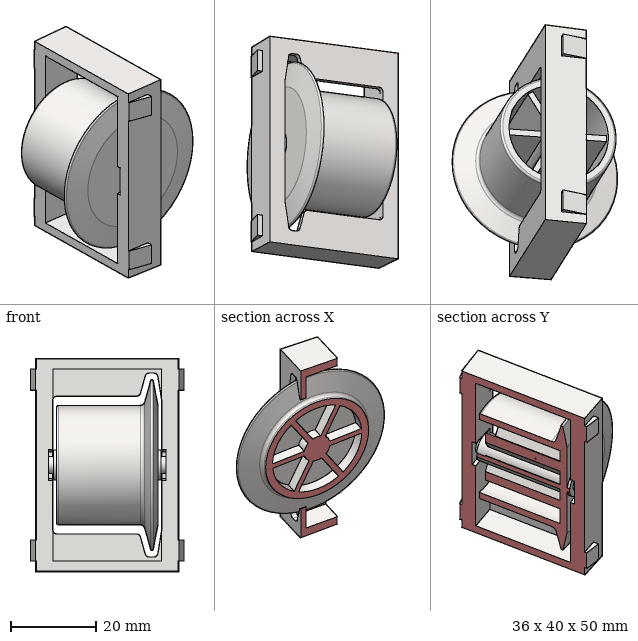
import cadquery as cq
import math

FRAME_WIDTH = 33.5
FRAME_HEIGHT = 50.0
FRAME_DEPTH = 10.0
FRAME_BACK = 4.5
FRAME_FRONT = FRAME_BACK - FRAME_DEPTH
FRAME_DRAFT = 1.0
SIDE_WALL = 4.0
END_WALL = 2.5
WINDOW_WIDTH = FRAME_WIDTH - 2 * SIDE_WALL
WINDOW_HEIGHT = FRAME_HEIGHT - 2 * END_WALL

PANEL_THICKNESS = 1.5
OPENING_DRUM_HALF = 16.1
OPENING_FLANGE_HALF = 21.5
OPENING_DRUM_END = 7.6
OPENING_CREST_LEFT = 9.1
OPENING_CREST_RIGHT = 11.7
OPENING_RIGHT_HALF = 15.0
OPENING_FILLET = 1.0

WEDGE_HEIGHT = 5.0
WEDGE_LENGTH = 6.0
WEDGE_REACH = 18.0
WEDGE_Z = WINDOW_HEIGHT / 2 - WEDGE_HEIGHT / 2

WHEEL_HALF_WIDTH = 11.9
DRUM_RADIUS = 14.0
DRUM_EDGE_FILLET = 0.5
FLANGE_RADIUS = 20.0
FLANGE_TIP_X = 10.45
FLANGE_TIP_ROUND = 0.35
FLANGE_INNER_ANGLE = 15.5
FLANGE_ROOT_FILLET = 1.0
BORE_RADIUS = 12.0
WEB_THICKNESS = 2.0
SPOKE_COUNT = 6
SPOKE_WIDTH = 1.5
SPOKE_RECESS = 1.7
SPOKE_TILT = -2.2

HUB_RADIUS = 3.55
HUB_HALF_LENGTH = 12.6
AXLE_RADIUS = 2.0
SLOT_MOUTH_HEIGHT = 7.3
SLOT_END_HEIGHT = 6.2
SLOT_DEPTH = 0.95
SLOT_FLOOR_X = WINDOW_WIDTH / 2 + SLOT_DEPTH


def x_cylinder(radius, x_start, x_end):
    """Cylinder about the X axis."""
    return cq.Workplane("YZ", origin=(x_start, 0, 0)).circle(radius).extrude(x_end - x_start)


def make_back_panel():
    """Panel filling the back of the window, with the wheel-shaped opening cut through."""
    origin = (0, FRAME_BACK, 0)
    panel = cq.Workplane("XZ", origin=origin).rect(WINDOW_WIDTH, WINDOW_HEIGHT).extrude(PANEL_THICKNESS)
    half_width = WINDOW_WIDTH / 2
    upper = [
        (-half_width, OPENING_DRUM_HALF),
        (OPENING_DRUM_END, OPENING_DRUM_HALF),
        (OPENING_CREST_LEFT, OPENING_FLANGE_HALF),
        (OPENING_CREST_RIGHT, OPENING_FLANGE_HALF),
        (half_width, OPENING_RIGHT_HALF),
    ]
    lower = [(x, -z) for x, z in reversed(upper)]
    opening = (
        cq.Workplane("XZ", origin=origin)
        .polyline(upper + lower)
        .close()
        .extrude(PANEL_THICKNESS)
        .edges("|Y")
        .fillet(OPENING_FILLET)
    )
    return panel.cut(opening)


def make_axle_slots():
    """Slots in both side walls, open to the front and narrowing towards the back panel."""
    panel_front = FRAME_BACK - PANEL_THICKNESS
    return (
        cq.Workplane("YZ", origin=(-SLOT_FLOOR_X, 0, 0))
        .moveTo(FRAME_FRONT, -SLOT_MOUTH_HEIGHT / 2)
        .lineTo(panel_front, -SLOT_END_HEIGHT / 2)
        .lineTo(panel_front, SLOT_END_HEIGHT / 2)
        .lineTo(FRAME_FRONT, SLOT_MOUTH_HEIGHT / 2)
        .close()
        .extrude(2 * SLOT_FLOOR_X)
    )


def make_wedges():
    """Four snap wedges that rise from the front edge of the side walls."""
    wall_x = FRAME_WIDTH / 2
    root_x = wall_x - SIDE_WALL / 2
    wedges = cq.Workplane("XY")
    for side in (-1, 1):
        for z in (-WEDGE_Z, WEDGE_Z):
            wedge = (
                cq.Workplane("XY", origin=(0, 0, z - WEDGE_HEIGHT / 2))
                .moveTo(side * root_x, FRAME_FRONT)
                .lineTo(side * wall_x, FRAME_FRONT)
                .lineTo(side * WEDGE_REACH, FRAME_FRONT + WEDGE_LENGTH)
                .lineTo(side * root_x, FRAME_FRONT + WEDGE_LENGTH)
                .close()
                .extrude(WEDGE_HEIGHT)
            )
            wedges = wedges.union(wedge)
    return wedges


def make_frame():
    """Tapered ring with back panel, wedges and axle slots."""
    plane = cq.Workplane("XZ", origin=(0, FRAME_BACK, 0))
    body = plane.rect(FRAME_WIDTH, FRAME_HEIGHT).extrude(FRAME_DEPTH, taper=FRAME_DRAFT)
    window = plane.rect(WINDOW_WIDTH, WINDOW_HEIGHT).extrude(FRAME_DEPTH)
    ring = body.cut(window).union(make_wedges()).cut(make_axle_slots())
    return ring.union(make_back_panel())


def make_wheel_blank():
    """Solid of revolution of the drum and flange outline."""
    tip_r = FLANGE_RADIUS - FLANGE_TIP_ROUND
    inner_angle = math.radians(FLANGE_INNER_ANGLE)
    flank_dx = WHEEL_HALF_WIDTH - FLANGE_TIP_X
    flank_dr = tip_r - DRUM_RADIUS
    flank_distance = math.hypot(flank_dx, flank_dr)
    outer_angle = math.atan2(flank_dx, flank_dr) - math.asin(FLANGE_TIP_ROUND / flank_distance)

    inner_tangent = (
        FLANGE_TIP_X - FLANGE_TIP_ROUND * math.cos(inner_angle),
        tip_r + FLANGE_TIP_ROUND * math.sin(inner_angle),
    )
    outer_tangent = (
        FLANGE_TIP_X + FLANGE_TIP_ROUND * math.cos(outer_angle),
        tip_r + FLANGE_TIP_ROUND * math.sin(outer_angle),
    )
    root_x = inner_tangent[0] - (inner_tangent[1] - DRUM_RADIUS) * math.tan(inner_angle)
    blank = (
        cq.Workplane("XY")
        .moveTo(-WHEEL_HALF_WIDTH, 0)
        .lineTo(-WHEEL_HALF_WIDTH, DRUM_RADIUS)
        .lineTo(root_x, DRUM_RADIUS)
        .lineTo(*inner_tangent)
        .threePointArc((FLANGE_TIP_X, FLANGE_RADIUS), outer_tangent)
        .lineTo(WHEEL_HALF_WIDTH, DRUM_RADIUS)
        .lineTo(WHEEL_HALF_WIDTH, 0)
        .close()
        .revolve(360, (0, 0, 0), (1, 0, 0))
    )
    root_edge = cq.selectors.BoxSelector(
        (root_x - 0.5, -FLANGE_RADIUS, -FLANGE_RADIUS),
        (root_x + 0.5, FLANGE_RADIUS, FLANGE_RADIUS),
    )
    blank = blank.edges(root_edge).edges("%CIRCLE").fillet(FLANGE_ROOT_FILLET)
    return blank.faces("<X").edges().fillet(DRUM_EDGE_FILLET)


def make_wheel():
    """Wheel hollowed from its -X end, with spokes, hub and axle."""
    web_face = WHEEL_HALF_WIDTH - WEB_THICKNESS
    spoke_face = -WHEEL_HALF_WIDTH + SPOKE_RECESS
    wheel = make_wheel_blank().cut(x_cylinder(BORE_RADIUS, -WHEEL_HALF_WIDTH, web_face))

    spoke_reach = (BORE_RADIUS + DRUM_RADIUS) / 2
    for index in range(SPOKE_COUNT):
        spoke = (
            cq.Workplane("YZ", origin=(spoke_face, 0, 0))
            .rect(spoke_reach, SPOKE_WIDTH)
            .extrude(web_face - spoke_face)
            .translate((0, spoke_reach / 2, 0))
            .rotate((0, 0, 0), (1, 0, 0), SPOKE_TILT + index * 360 / SPOKE_COUNT)
        )
        wheel = wheel.union(spoke)

    wheel = wheel.union(x_cylinder(HUB_RADIUS, -HUB_HALF_LENGTH, HUB_HALF_LENGTH))
    return wheel.union(x_cylinder(AXLE_RADIUS, -SLOT_FLOOR_X, SLOT_FLOOR_X))


result = make_frame().union(make_wheel())